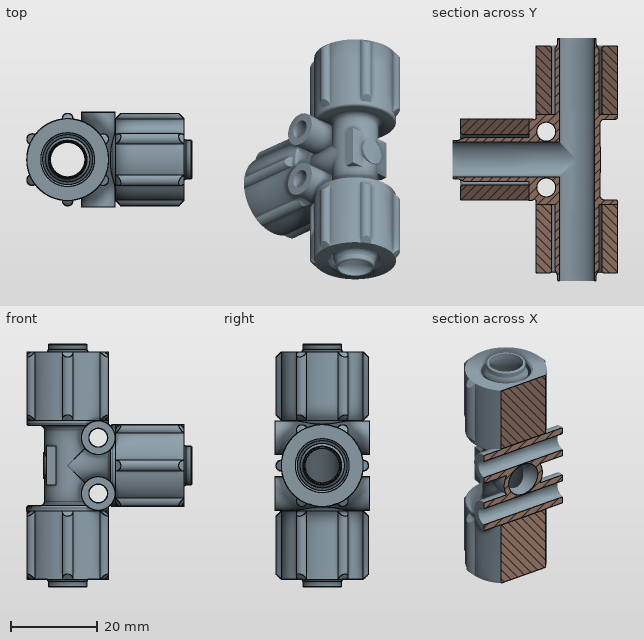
import cadquery as cq
import math

tube_diameter = 10.8
bore_diameter = 8.0
run_flange_start = 9.3
branch_offset = 0.6

flange_diameter = 19.0
flange_thickness = 1.2
flange_edge_radius = 0.5
run_root_fillet = 1.0
branch_root_fillet = 0.45
stem_length = 18.9
barb_diameter = 10.3
barb_taper_start = 16.2
barb_taper_end = 17.6
tip_diameter = 9.0
tip_edge_chamfer = 0.2

nut_diameter = 19.0
nut_length = 15.9
nut_bore_diameter = 11.6
nut_mouth_chamfer = 0.45
rib_count = 6
rib_radius = 1.25

lug_x = 7.1
lug_z = 6.47
lug_diameter = 7.8
lug_hole_diameter = 4.3
lug_length = 22.0

pad_diameter = 6.0
pad_face_x = -5.6
block_face_x = -4.85
block_back_x = -2.65
block_width = 11.0
block_height = 9.0

branch_flange_start = run_flange_start + branch_offset
nut_seat_height = flange_thickness


def place_on_arm(shape, flange_start, arm_angle):
    """Move a shape standing on the XY plane out to an arm turned about Y from +Z."""
    return shape.translate((0, 0, flange_start)).rotate((0, 0, 0), (0, 1, 0), arm_angle)


def make_arm(flange_start, root_fillet):
    """Solid arm from the tee centre (below the XY plane) to the tip of its stem."""
    tube_radius = tube_diameter / 2
    flange_radius = flange_diameter / 2
    barb_radius = barb_diameter / 2
    tip_radius = tip_diameter / 2
    arc_step = math.sqrt(0.5)
    root_radius = tube_radius + root_fillet
    rim_radius = flange_radius - flange_edge_radius
    root_mid = (
        root_radius - root_fillet * arc_step,
        -root_fillet + root_fillet * arc_step,
    )
    rim_mid = (
        rim_radius + flange_edge_radius * arc_step,
        flange_edge_radius - flange_edge_radius * arc_step,
    )
    return (
        cq.Workplane("XZ")
        .moveTo(0, -flange_start)
        .lineTo(tube_radius, -flange_start)
        .lineTo(tube_radius, -root_fillet)
        .threePointArc(root_mid, (root_radius, 0))
        .lineTo(rim_radius, 0)
        .threePointArc(rim_mid, (flange_radius, flange_edge_radius))
        .lineTo(flange_radius, flange_thickness)
        .lineTo(barb_radius, flange_thickness)
        .lineTo(barb_radius, barb_taper_start)
        .lineTo(tip_radius, barb_taper_end)
        .lineTo(tip_radius, stem_length - tip_edge_chamfer)
        .lineTo(tip_radius - tip_edge_chamfer, stem_length)
        .lineTo(0, stem_length)
        .close()
        .revolve(360, (0, 0, 0), (0, 1, 0))
    )


def make_bore(flange_start):
    """Straight bore from the tee centre out through the tip of an arm."""
    base = cq.Workplane("XY", origin=(0, 0, -flange_start))
    return base.circle(bore_diameter / 2).extrude(flange_start + stem_length)


def make_lug_cylinder(diameter, side):
    """Cylinder along the full lug length, above (+1) or below (-1) the branch."""
    return (
        cq.Workplane("XZ", origin=(lug_x, 0, side * lug_z))
        .circle(diameter / 2)
        .extrude(lug_length / 2, both=True)
    )


def make_block():
    """Flat block across the tube behind the round pad."""
    depth = block_back_x - block_face_x
    centre_x = (block_face_x + block_back_x) / 2
    return cq.Workplane("XY").box(depth, block_width, block_height).translate((centre_x, 0, 0))


def make_body(arms):
    """Tee body with arms, lugs, round pad and block."""
    body = cq.Workplane("YZ", origin=(pad_face_x, 0, 0)).circle(pad_diameter / 2).extrude(-pad_face_x)
    body = body.union(make_block())
    for flange_start, arm_angle, root_fillet in arms:
        body = body.union(place_on_arm(make_arm(flange_start, root_fillet), flange_start, arm_angle))
    for side in (1, -1):
        body = body.union(make_lug_cylinder(lug_diameter, side))
    for flange_start, arm_angle, _ in arms:
        body = body.cut(place_on_arm(make_bore(flange_start), flange_start, arm_angle))
    for side in (1, -1):
        body = body.cut(make_lug_cylinder(lug_hole_diameter, side))
    return body


def make_nut():
    """Cap nut with grip ribs, seated on the outer face of the flange."""
    base = cq.Workplane("XY", origin=(0, 0, nut_seat_height))
    nut_radius = nut_diameter / 2
    ribs = (
        base.polarArray(nut_radius, 90, 360, rib_count)
        .circle(rib_radius)
        .extrude(nut_length)
    )
    rib_envelope = base.circle(nut_radius + rib_radius).extrude(nut_length).edges().chamfer(rib_radius)
    nut = base.circle(nut_radius).extrude(nut_length).union(ribs.intersect(rib_envelope))
    bore = base.circle(nut_bore_diameter / 2).extrude(nut_length)
    mouth = (
        cq.Workplane("XY", origin=(0, 0, nut_seat_height + nut_length))
        .circle(nut_bore_diameter / 2 + nut_mouth_chamfer)
        .workplane(offset=-nut_mouth_chamfer)
        .circle(nut_bore_diameter / 2)
        .loft()
    )
    return nut.cut(bore).cut(mouth)


arms = [
    (run_flange_start, 0, run_root_fillet),
    (branch_flange_start, 90, branch_root_fillet),
    (run_flange_start, 180, run_root_fillet),
]

body = make_body(arms)
nuts = []
for flange_start, arm_angle, _ in arms:
    nuts.append(place_on_arm(make_nut(), flange_start, arm_angle))

result = cq.Compound.makeCompound([body.val(), *[nut.val() for nut in nuts]])